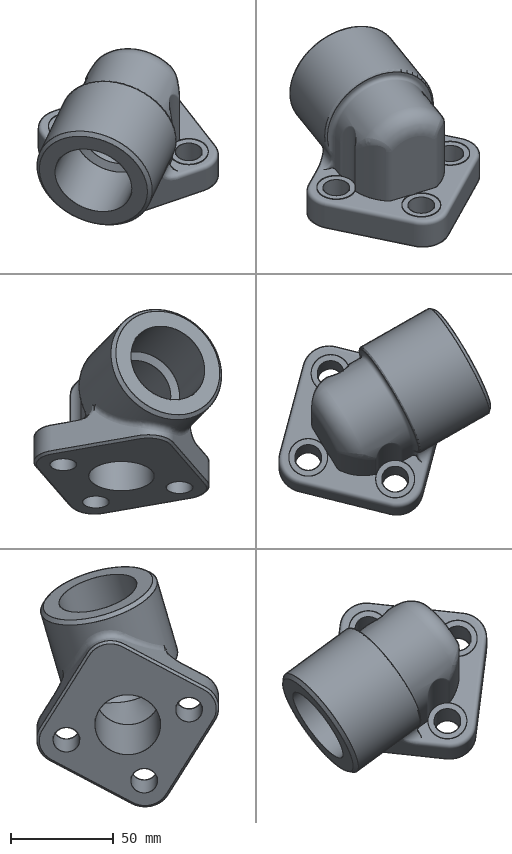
import cadquery as cq
import math

flange_width = 90.9
flange_corner_radius = 13.0
flange_thickness = 16.0
flange_edge_round = 2.0
flange_foot_chamfer = 1.2

bolt_offset = 31.0
bolt_diameter = 13.0
spotface_diameter = 19.0
spotface_depth = 0.3

axis_height = 36.0
elbow_diameter = 50.0
elbow_back = 21.6
elbow_back_round = 10.1
elbow_seam_round = 5.0
scallop_edge_round = 1.0

overall_length = 101.5
boss_diameter = 59.0
boss_back = -14.8
boss_front_chamfer = 1.8
boss_back_round = 1.0
boss_neck_fillet = 1.8
boss_top_fillet = 5.0
boss_wall_fillet = 3.0
wall_blend_width = 51.2
wall_blend_stock = 28.4

passage_diameter = 32.0
port_diameter = 39.3
port_depth = 30.4
drill_tip_half_angle = math.radians(59)

elbow_radius = elbow_diameter / 2
elbow_height = axis_height + elbow_radius
boss_radius = boss_diameter / 2
boss_front = flange_width / 2 - overall_length
corner_center = flange_width / 2 - flange_corner_radius
flange_side = math.sqrt(2) * corner_center + 2 * flange_corner_radius
bolt_places = [(bolt_offset, 0), (-bolt_offset, 0), (0, bolt_offset)]

fillet_center_z = flange_thickness + boss_top_fillet
fillet_center_drop = axis_height - fillet_center_z
fillet_center_x = math.sqrt((boss_radius + boss_top_fillet) ** 2 - fillet_center_drop ** 2)
contact_ratio = boss_radius / (boss_radius + boss_top_fillet)
contact_x = fillet_center_x * contact_ratio
contact_z = axis_height - fillet_center_drop * contact_ratio


def nearest(x, y, z):
    return cq.selectors.NearestToPointSelector((x, y, z))


def cylinder_along_y(diameter, y_back, y_front):
    start = cq.Workplane("XZ", origin=(0, y_back, axis_height))
    return start.circle(diameter / 2).extrude(y_back - y_front)


def block_forward_of(y_back, height):
    """Block as wide as the elbow, from y_back forward to the back of the boss."""
    block = cq.Workplane("XY").box(
        elbow_diameter, y_back - boss_back, height, centered=(True, False, False)
    )
    return block.translate((0, boss_back, 0))


def flange_prism(height):
    square = cq.Workplane("XY").rect(flange_side, flange_side).extrude(height)
    rounded = square.edges("|Z").fillet(flange_corner_radius)
    chamfered = rounded.faces("<Z").chamfer(flange_foot_chamfer)
    return chamfered.rotate((0, 0, 0), (0, 0, 1), 45)


def boss_saddle():
    """Solid under the boss whose hollow flanks blend the boss into the flange top."""
    arc_end = math.pi * 1.5
    arc_start = math.pi - math.atan2(fillet_center_drop, fillet_center_x)
    arc_middle = (arc_start + arc_end) / 2
    middle_x = fillet_center_x + boss_top_fillet * math.cos(arc_middle)
    middle_z = fillet_center_z + boss_top_fillet * math.sin(arc_middle)
    half_base = flange_thickness / 2
    return (
        cq.Workplane("XZ", origin=(0, boss_back, 0))
        .moveTo(fillet_center_x, half_base)
        .lineTo(fillet_center_x, flange_thickness)
        .threePointArc((middle_x, middle_z), (contact_x, contact_z))
        .lineTo(0, axis_height)
        .lineTo(-contact_x, contact_z)
        .threePointArc((-middle_x, middle_z), (-fillet_center_x, flange_thickness))
        .lineTo(-fillet_center_x, half_base)
        .close()
        .extrude(boss_back - boss_front)
    )


def make_flange():
    saddle = boss_saddle().intersect(flange_prism(axis_height))
    flange = flange_prism(flange_thickness).union(saddle)
    half_side = flange_side / (2 * math.sqrt(2))
    flange = flange.edges(nearest(half_side, half_side, flange_thickness)).fillet(flange_edge_round)

    bolt_centers = cq.Workplane("XY").pushPoints(bolt_places)
    holes = bolt_centers.circle(bolt_diameter / 2).extrude(flange_thickness)
    spotfaces = bolt_centers.circle(spotface_diameter / 2).extrude(spotface_depth)
    return flange.cut(holes).cut(spotfaces.translate((0, 0, flange_thickness - spotface_depth)))


def make_wall_blend(boss):
    """Fillet between the underside of the boss and the front walls of the flange."""
    tall_flange = flange_prism(wall_blend_stock)
    seam = nearest(0, -flange_width / 2, axis_height - boss_radius)
    filleted = tall_flange.union(boss).edges(seam).fillet(boss_wall_fillet)
    reach = cq.Workplane("XY").box(
        wall_blend_width, boss_back - boss_front, axis_height, centered=(True, False, False)
    )
    return filleted.intersect(reach.translate((0, boss_front, 0)))


def make_elbow():
    neck = cylinder_along_y(elbow_diameter, elbow_back, boss_back)
    neck = neck.faces(">Y").edges().fillet(elbow_back_round)
    plan = cq.Workplane("XY").circle(elbow_radius).extrude(elbow_height)
    plan = plan.union(block_forward_of(0, elbow_height))
    elbow = neck.union(block_forward_of(elbow_back, axis_height)).intersect(plan)

    seam_y = elbow_back - elbow_back_round / 2
    seam_x = math.sqrt(elbow_radius ** 2 - seam_y ** 2)
    for side in (1, -1):
        seam = nearest(side * seam_x, seam_y, axis_height + elbow_radius / 2)
        elbow = elbow.edges(seam).fillet(elbow_seam_round)

    scallop_radius = spotface_diameter / 2
    scallops = cq.Workplane("XY").pushPoints(bolt_places[:2]).circle(scallop_radius)
    elbow = elbow.cut(scallops.extrude(elbow_height))
    scallop_zone = cq.selectors.BoxSelector(
        (-flange_width, -scallop_radius, 0), (flange_width, scallop_radius, axis_height)
    )
    return elbow.edges("|Z").edges(scallop_zone).fillet(scallop_edge_round)


def drill(diameter, depth):
    """Drill shape pointing up from the origin, with its conical tip beyond depth."""
    radius = diameter / 2
    tip = depth + radius / math.tan(drill_tip_half_angle)
    outline = [(0, 0), (radius, 0), (radius, depth), (0, tip)]
    return cq.Workplane("XZ").polyline(outline).close().revolve(360, (0, 0), (0, 1))


def drill_from_front(diameter, depth):
    pointing_back = drill(diameter, depth).rotate((0, 0, 0), (1, 0, 0), -90)
    return pointing_back.translate((0, boss_front, axis_height))


boss = cylinder_along_y(boss_diameter, boss_back, boss_front)
boss = boss.faces("<Y").chamfer(boss_front_chamfer)
body = make_flange().union(boss).union(make_wall_blend(boss))
body = body.edges(nearest(0, boss_back, axis_height + boss_radius)).fillet(boss_back_round)
body = body.union(make_elbow())
body = body.edges(nearest(0, boss_back, axis_height + 2 * elbow_radius / math.pi)).fillet(boss_neck_fillet)

body = body.cut(drill(passage_diameter, axis_height))
body = body.cut(drill_from_front(passage_diameter, -boss_front))
result = body.cut(drill_from_front(port_diameter, port_depth))